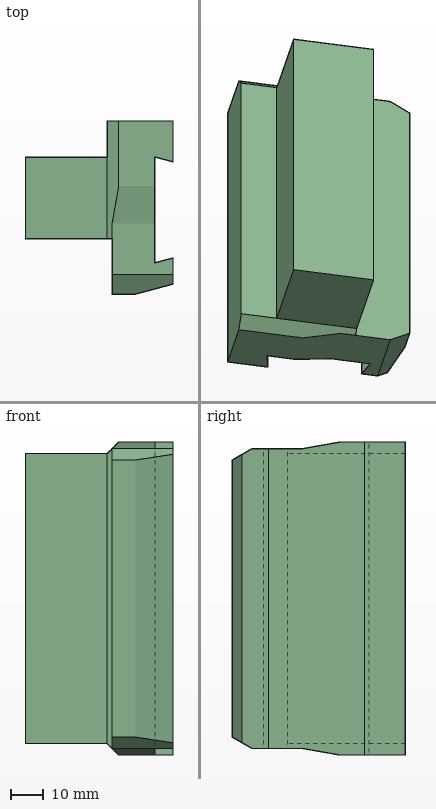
import cadquery as cq
import math

total_depth = 44.8
carrier_width = 52.58
carrier_height = 95.0

bar_side = 24.8
bar_inset = 11.0

end_chamfer = 3.5
pad_rise = 1.5

shoulder_drop = end_chamfer - pad_rise
full_height_width = 19.8
ramp_angle = 10.0
bevel_drop = 3.5
bevel_angle = 30.0

groove_depth = 5.5
groove_root_width = 32.0
flank_angle = 15.0
groove_inset = bar_inset

taper_depth = 11.4
taper_angle = 15.0


def tangent(degrees):
    return math.tan(math.radians(degrees))


carrier_depth = total_depth - bar_side
y_max = carrier_width / 2
y_min = -y_max
bar_y_max = y_max - bar_inset
bar_y_min = bar_y_max - bar_side
half_height = carrier_height / 2
bar_height = carrier_height - 2 * end_chamfer


def carrier_profile():
    """Cross-section in XY: pad step, tapered flank and dovetail groove."""
    groove_x = carrier_depth - groove_depth
    groove_y_max = y_max - groove_inset
    groove_y_min = groove_y_max - groove_root_width
    undercut = groove_depth * tangent(flank_angle)
    taper_rise = taper_depth * tangent(taper_angle)
    return [
        (0, y_max),
        (0, bar_y_min),
        (pad_rise, bar_y_min),
        (pad_rise, y_min),
        (carrier_depth - taper_depth, y_min),
        (carrier_depth, y_min + taper_rise),
        (carrier_depth, groove_y_min + undercut),
        (groove_x, groove_y_min),
        (groove_x, groove_y_max),
        (carrier_depth, groove_y_max - undercut),
        (carrier_depth, y_max),
    ]


def end_silhouette():
    """Outline in YZ, the same at the top and bottom ends."""
    shoulder_z = half_height - shoulder_drop
    ramp_start = y_max - full_height_width
    ramp_end = ramp_start - shoulder_drop / tangent(ramp_angle)
    bevel_start = y_min + bevel_drop / tangent(bevel_angle)
    upper = [
        (y_max, half_height),
        (ramp_start, half_height),
        (ramp_end, shoulder_z),
        (bevel_start, shoulder_z),
        (y_min, shoulder_z - bevel_drop),
    ]
    lower = [(y, -z) for y, z in reversed(upper)]
    return upper + lower


def pad_chamfer(end):
    """Wedge removed from the pad at the top (end = 1) or bottom (end = -1)."""
    corner = [
        (0, end * half_height),
        (end_chamfer, end * half_height),
        (0, end * (half_height - end_chamfer)),
    ]
    wedge = cq.Workplane("XZ", origin=(0, y_max, 0)).polyline(corner).close()
    return wedge.extrude(y_max - bar_y_min)


def make_carrier():
    prism = cq.Workplane("XY", origin=(0, 0, -half_height)).polyline(carrier_profile()).close()
    prism = prism.extrude(carrier_height)
    envelope = cq.Workplane("YZ").polyline(end_silhouette()).close().extrude(carrier_depth)
    body = prism.intersect(envelope)
    for end in (1, -1):
        body = body.cut(pad_chamfer(end))
    return body


def make_bar():
    centre_y = (bar_y_max + bar_y_min) / 2
    return cq.Workplane("XY").box(bar_side, bar_side, bar_height).translate((-bar_side / 2, centre_y, 0))


carrier = make_carrier()
bar = make_bar()

result = cq.Compound.makeCompound([carrier.val(), bar.val()])